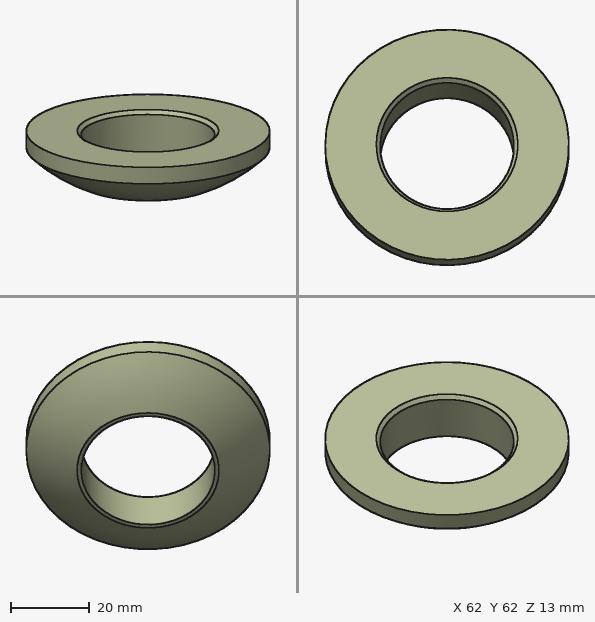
import cadquery as cq
import math

outer_diameter = 62.0
height = 13.0
rim_height = 4.4
bore_diameter = 34.0
bore_chamfer = 1.0
sphere_radius = 45.0

outer_radius = outer_diameter / 2
bore_radius = bore_diameter / 2
rim_bottom = height - rim_height

sphere_center_z = rim_bottom + math.sqrt(sphere_radius**2 - outer_radius**2)


def seat_radius_at(z):
    """Radius of the spherical seat at height z."""
    return math.sqrt(sphere_radius**2 - (sphere_center_z - z) ** 2)


seat_mid_z = rim_bottom / 2

section = (
    cq.Workplane("XZ")
    .moveTo(bore_radius, 0)
    .lineTo(seat_radius_at(0), 0)
    .threePointArc((seat_radius_at(seat_mid_z), seat_mid_z), (outer_radius, rim_bottom))
    .lineTo(outer_radius, height)
    .lineTo(bore_radius + bore_chamfer, height)
    .lineTo(bore_radius, height - bore_chamfer)
    .close()
)

result = section.revolve(360, (0, 0, 0), (0, 1, 0))